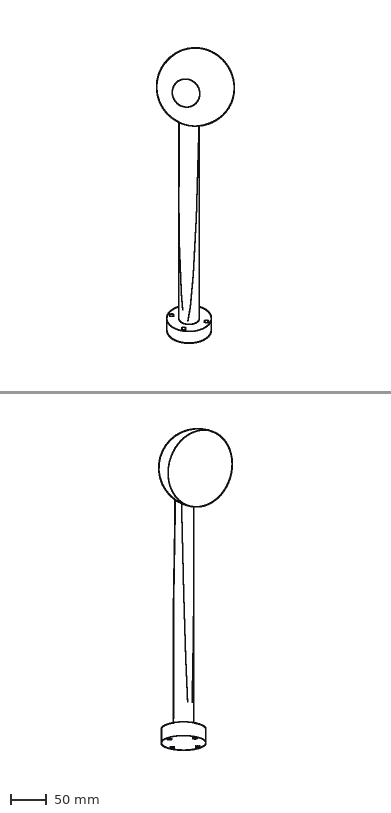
import cadquery as cq
import math

foot_radius = 31.5
foot_height = 20.5
bolt_circle_radius = 25.5
bolt_hole_diameter = 6.0
bolt_hole_count = 4

post_radius = 14.5
taper_end_height = 338.8
post_top_height = 365.2
post_front_y = -1.5
post_back_y = 9.5

total_height = 456.5
head_radius = 55.2
head_center_y = 32.0
head_center_z = total_height - head_radius
head_tilt = 25.0
rim_offset = 6.0
cap_flat_radius = 20.0
cap_offset = math.sqrt(head_radius**2 - cap_flat_radius**2)


def make_foot():
    return (
        cq.Workplane("XY")
        .circle(foot_radius)
        .extrude(foot_height)
        .faces(">Z")
        .workplane()
        .polarArray(bolt_circle_radius, 0, 360, bolt_hole_count)
        .hole(bolt_hole_diameter)
    )


def make_post():
    cylinder = (
        cq.Workplane("XY")
        .workplane(offset=foot_height)
        .circle(post_radius)
        .extrude(post_top_height - foot_height)
    )
    side_profile = (
        cq.Workplane("YZ")
        .moveTo(-post_radius, foot_height)
        .lineTo(post_radius, foot_height)
        .lineTo(post_back_y, taper_end_height)
        .lineTo(post_back_y, post_top_height)
        .lineTo(post_front_y, post_top_height)
        .lineTo(post_front_y, taper_end_height)
        .close()
        .extrude(post_radius, both=True)
    )
    return cylinder.intersect(side_profile)


def make_head():
    """Sphere kept between the rim plane and the small flat on its crown."""
    segment_length = cap_offset + rim_offset
    slab = (
        cq.Workplane("XY")
        .box(2 * head_radius, segment_length, 2 * head_radius)
        .translate((0, (rim_offset - cap_offset) / 2, 0))
    )
    return (
        cq.Workplane("XY")
        .sphere(head_radius)
        .intersect(slab)
        .rotate((0, 0, 0), (1, 0, 0), -head_tilt)
        .translate((0, head_center_y, head_center_z))
    )


result = make_foot().union(make_post()).union(make_head())